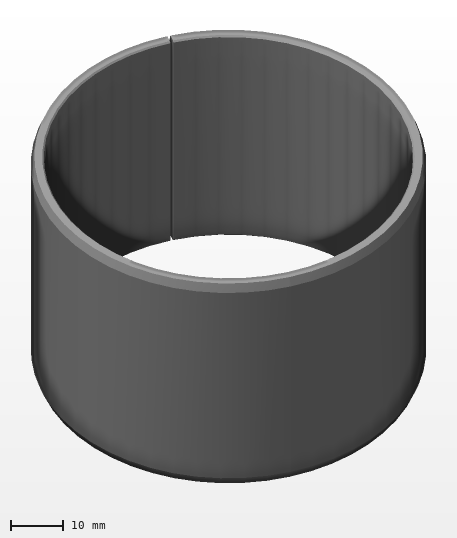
import cadquery as cq

outer_diameter = 75.0
wall = 2.5
length = 50.0
outer_chamfer_height = 1.8
outer_chamfer_depth = 0.7
inner_chamfer = 0.3
slit_width = 0.6
slit_start_y = 0.0

outer_radius = outer_diameter / 2
inner_radius = outer_radius - wall
half_length = length / 2


def make_sleeve():
    """Revolve the wall section, with both edges chamfered at both ends."""
    section = [
        (inner_radius, half_length - inner_chamfer),
        (inner_radius + inner_chamfer, half_length),
        (outer_radius - outer_chamfer_depth, half_length),
        (outer_radius, half_length - outer_chamfer_height),
    ]
    mirrored = [(radius, -height) for radius, height in reversed(section)]
    profile = cq.Workplane("XZ").polyline(section + mirrored).close()
    return profile.revolve(360, (0, 0, 0), (0, 1, 0))


def make_slit():
    """Cutter through the wall on the -X side only, over the full length."""
    return (
        cq.Workplane("XY")
        .box(outer_radius, slit_width, length, centered=(False, False, True))
        .translate((-outer_radius, slit_start_y, 0))
    )


result = make_sleeve().cut(make_slit())